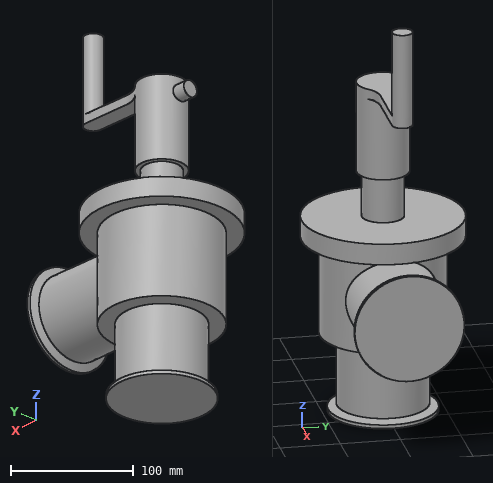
import cadquery as cq
import math

chamber_diameter = 105.0
chamber_bottom = 67.5
chamber_top = 150.7
cover_diameter = 135.0
cover_top = 168.5
pipe_diameter = 76.5
side_port_height = 110.0
side_port_reach = 110.0

ferrule_diameter = 91.0
ferrule_rim_thickness = 3.2
ferrule_thickness = 6.0

stem_diameter = 35.0
stem_top = 207.5

hub_diameter = 44.0
hub_top = 285.0
arm_thickness = 8.5
grip_diameter = 17.0
arm_width = grip_diameter
grip_offset = 79.5
grip_top = 357.0
arm_blend_radius = 24.0
peg_diameter = 15.0
peg_height = 270.7
peg_reach = 33.2


def cylinder_up(diameter, bottom, top):
    """Vertical cylinder on the main axis."""
    return cq.Workplane("XY").workplane(offset=bottom).circle(diameter / 2).extrude(top - bottom)


def port(length):
    """Pipe rising from a clamp ferrule whose open face lies at Z = 0."""
    pipe_radius = pipe_diameter / 2
    rim_radius = ferrule_diameter / 2
    profile = [
        (0, 0),
        (rim_radius, 0),
        (rim_radius, ferrule_rim_thickness),
        (pipe_radius, ferrule_thickness),
        (pipe_radius, length),
        (0, length),
    ]
    return cq.Workplane("XZ").polyline(profile).close().revolve(360, (0, 0), (0, 1))


def make_housing():
    chamber = cylinder_up(chamber_diameter, chamber_bottom, chamber_top)
    cover = cylinder_up(cover_diameter, chamber_top, cover_top)
    bottom_port = port(chamber_bottom)
    side_port = port(side_port_reach).rotate((0, 0, 0), (0, 1, 0), -90)
    side_port = side_port.translate((side_port_reach, 0, side_port_height))
    return chamber.union(cover).union(bottom_port).union(side_port)


def make_stem():
    return cylinder_up(stem_diameter, cover_top, stem_top)


def make_arm():
    """Flat arm that flares into the hub through tangent arcs and ends round at the grip."""
    hub_radius = hub_diameter / 2
    half_width = arm_width / 2

    center_y = half_width + arm_blend_radius
    center_distance = hub_radius + arm_blend_radius
    center_x = math.sqrt(center_distance**2 - center_y**2)
    hub_touch_x = center_x * hub_radius / center_distance
    hub_touch_y = center_y * hub_radius / center_distance

    start_angle = math.atan2(-center_y, -center_x)
    middle_angle = (start_angle - math.pi / 2) / 2
    middle_x = center_x + arm_blend_radius * math.cos(middle_angle)
    middle_y = center_y + arm_blend_radius * math.sin(middle_angle)

    return (
        cq.Workplane("XY")
        .workplane(offset=hub_top - arm_thickness)
        .moveTo(hub_touch_x, hub_touch_y)
        .threePointArc((middle_x, middle_y), (center_x, half_width))
        .lineTo(grip_offset, half_width)
        .threePointArc((grip_offset + half_width, 0), (grip_offset, -half_width))
        .lineTo(center_x, -half_width)
        .threePointArc((middle_x, -middle_y), (hub_touch_x, -hub_touch_y))
        .threePointArc((-hub_radius, 0), (hub_touch_x, hub_touch_y))
        .close()
        .extrude(arm_thickness)
    )


def make_crank():
    hub = cylinder_up(hub_diameter, stem_top, hub_top)
    grip = cylinder_up(grip_diameter, hub_top, grip_top).translate((grip_offset, 0, 0))
    peg = (
        cq.Workplane("YZ")
        .center(0, peg_height)
        .circle(peg_diameter / 2)
        .extrude(-peg_reach)
    )
    return hub.union(make_arm()).union(grip).union(peg)


housing = make_housing()
stem = make_stem()
crank = make_crank()

result = cq.Compound.makeCompound([housing.val(), stem.val(), crank.val()])